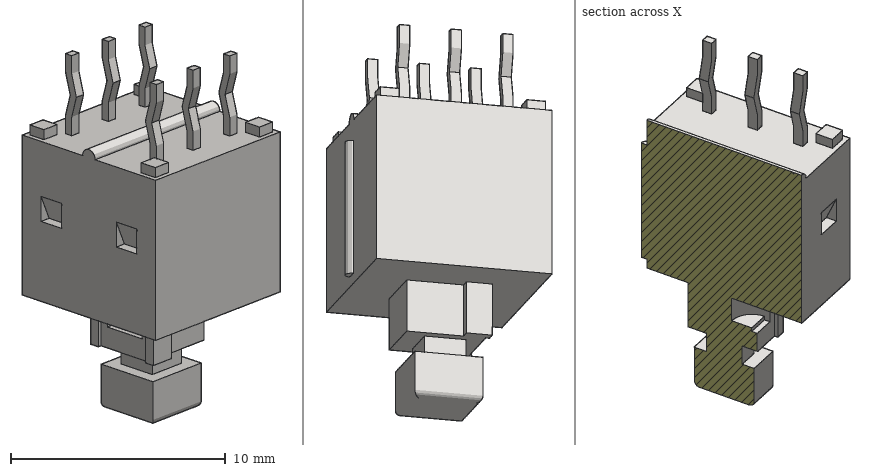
import cadquery as cq

body_side = 8.5
body_height = 8.0
half_side = body_side / 2

ridge_radius = 0.4
rib_radius = 0.3
rib_length = 6.5
rib_top_gap = 1.0

foot_side = 0.9
foot_height = 0.5
foot_edge_gap = 0.25

pin_rows_y = (-2.5, 0, 2.5)
pin_inner_x = 2.5
pin_thickness = 0.4
pin_width = 0.5
pin_length = 4.0
kink_offset = 0.3
kink_height = 2.0
kink_half_span = 1.08

pocket_center_x = 2.4
pocket_width = 1.3
pocket_height = 1.25
pocket_top_gap = 2.75
pocket_depth = 0.55

guide_height = 2.5
guide_rear_y = 2.0
core_width = 3.0
core_front_y = -1.82
guide_width = 4.0
cheek_front_y = -2.0
cheek_rear_y = -0.75

window_radius = 1.1
window_height = 1.45
window_depth = 0.3
bore_height = 1.25

stem_side = 2.0
stem_height = 1.0
button_side = 3.3
button_height = 2.2
button_fillet = 0.3


def box_between(x_range, y_range, z_range):
    """Box spanning the given (low, high) ranges."""
    size = [high - low for low, high in (x_range, y_range, z_range)]
    corner = (x_range[0], y_range[0], z_range[0])
    return cq.Workplane("XY").box(*size, centered=False).translate(corner)


def square_block(side, height, bottom_z):
    """Square block centred on the Z axis."""
    return cq.Workplane("XY").workplane(offset=bottom_z).rect(side, side).extrude(height)


def ridge():
    rod = cq.Workplane("XZ", origin=(0, half_side, body_height)).circle(ridge_radius)
    return rod.extrude(body_side)


def rear_rib():
    bottom_z = body_height - rib_top_gap - rib_length
    rod = cq.Workplane("XY", origin=(0, half_side, bottom_z)).circle(rib_radius)
    return rod.extrude(rib_length)


def feet():
    spacing = body_side - 2 * foot_edge_gap - foot_side
    top = cq.Workplane("XY").workplane(offset=body_height)
    corners = top.rect(spacing, spacing, forConstruction=True).vertices()
    return corners.rect(foot_side, foot_side).extrude(foot_height)


def pin(y):
    """Pin on the +X side whose middle is kinked towards the centre."""
    heights = [0, kink_height - kink_half_span, kink_height, kink_height + kink_half_span, pin_length]
    offsets = [0, 0, kink_offset, 0, 0]
    inner_edge = [(pin_inner_x - shift, body_height + height) for shift, height in zip(offsets, heights)]
    outer_edge = [(x + pin_thickness, z) for x, z in reversed(inner_edge)]
    profile = cq.Workplane("XZ", origin=(0, y, 0)).polyline(inner_edge + outer_edge).close()
    return profile.extrude(pin_width / 2, both=True)


def wedge_pocket(center_x):
    front_y = -half_side
    top_z = body_height - pocket_top_gap
    bottom_z = top_z - pocket_height
    corners = [(front_y, top_z), (front_y, bottom_z), (front_y + pocket_depth, bottom_z)]
    profile = cq.Workplane("YZ", origin=(center_x, 0, 0)).polyline(corners).close()
    return profile.extrude(pocket_width / 2, both=True)


def guide():
    z_range = (-guide_height, 0)
    half_core = core_width / 2
    half_guide = guide_width / 2
    block = box_between((-half_core, half_core), (core_front_y, guide_rear_y), z_range)
    cheek_y = (cheek_front_y, cheek_rear_y)
    block = block.union(box_between((half_core, half_guide), cheek_y, z_range))
    block = block.union(box_between((-half_guide, -half_core), cheek_y, z_range))

    window_rear_y = core_front_y + window_depth
    window_x = (-window_radius, window_radius)
    window = box_between(window_x, (core_front_y, window_rear_y), (-window_height, 0))
    bore_floor = cq.Workplane("XY", origin=(0, window_rear_y, -bore_height))
    bore = bore_floor.circle(window_radius).extrude(bore_height)
    return block.cut(window).cut(bore)


def plunger():
    stem_bottom = -guide_height - stem_height
    stem = square_block(stem_side, stem_height, stem_bottom)
    button = square_block(button_side, button_height, stem_bottom - button_height)
    button = button.faces("<Z").edges().fillet(button_fillet)
    return stem.union(button)


result = square_block(body_side, body_height, 0)
for feature in (ridge(), rear_rib(), feet(), guide(), plunger()):
    result = result.union(feature)

for row_y in pin_rows_y:
    right_pin = pin(row_y)
    result = result.union(right_pin).union(right_pin.mirror("YZ"))

for side in (-1, 1):
    result = result.cut(wedge_pocket(side * pocket_center_x))